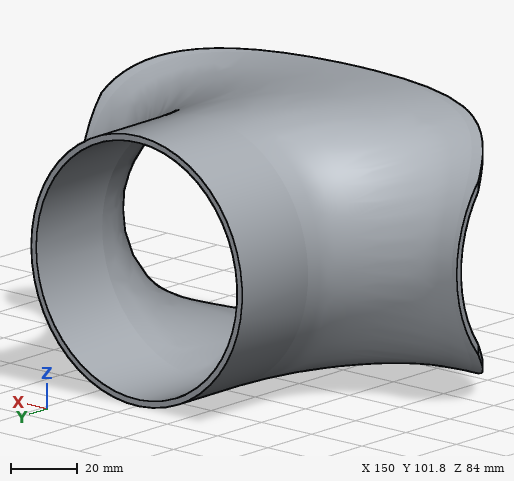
import cadquery as cq
import math


outer_diameter = 84.0
inner_diameter = 80.0
overall_length = 101.8
tube_length = 30.0
saddle_width = 150.0
rim_half_axis = 77.1
flare_half_axis = 73.0

outer_radius = outer_diameter / 2
inner_radius = inner_diameter / 2
tube_start = overall_length - tube_length

section_points = 48
flare_sections = 10
strip_sections = 2
strip_width = 9.0
sewing_tolerance = 1e-3
slope_step = 1e-4


def flare_end(angle):
    """End of the flare at a tube angle, as (x, angle around the main pipe from +Y).

    Seen along Z these points lie on an ellipse centred on the crest of the main pipe,
    with half axes flare_half_axis along X and inner_radius along Y.
    """
    c = math.cos(angle)
    s = math.sin(angle)
    x = flare_half_axis * c * math.sqrt(1 + s * s)
    around = 2 * math.asin(s * math.sqrt(inner_radius / outer_diameter))
    return x, around


def outward_direction(angle):
    """Unit direction across the flare end line, as (along X, around the pipe)."""
    x0, around0 = flare_end(angle - slope_step)
    x1, around1 = flare_end(angle + slope_step)
    run = x1 - x0
    arc = (around1 - around0) * outer_radius
    length = math.hypot(run, arc)
    return arc / length, -run / length


def strip_point(radius, angle, reach):
    """Point on the main pipe, a distance outward from the flare end line."""
    x, around = flare_end(angle)
    along_x, along_arc = outward_direction(angle)
    turn = around + along_arc * reach / outer_radius
    return cq.Vector(x + along_x * reach, radius * math.cos(turn), radius * math.sin(turn))


def flare_point(radius, angle, t):
    """Cubic Hermite blend from the tube (t = 0) to the main pipe (t = 1), tangent to both."""
    start = cq.Vector(radius * math.cos(angle), tube_start, radius * math.sin(angle))
    end = strip_point(radius, angle, 0)
    _, around = flare_end(angle)
    along_x, along_arc = outward_direction(angle)
    pull = (end - start).Length
    start_pull = cq.Vector(0, -pull, 0)
    end_pull = cq.Vector(along_x, -along_arc * math.sin(around), along_arc * math.cos(around)) * pull
    return (
        start * (2 * t**3 - 3 * t**2 + 1)
        + start_pull * (t**3 - 2 * t**2 + t)
        + end * (3 * t**2 - 2 * t**3)
        + end_pull * (t**3 - t**2)
    )


def closed_section(point_at, radius, place):
    """Closed smooth wire through the points at one place along the wall."""
    angles = [2 * math.pi * i / section_points for i in range(section_points)]
    points = [point_at(radius, angle, place) for angle in angles]
    return cq.Wire.assembleEdges([cq.Edge.makeSpline(points, periodic=True)])


def tube_circle(radius, y):
    return cq.Workplane("XZ", origin=(0, y, 0)).circle(radius).wires().val()


def skin(radius):
    """Tube, flare and strip surfaces of one side of the wall, with its two end wires."""
    tube_end = tube_circle(radius, overall_length)
    tube_mouth = tube_circle(radius, tube_start)
    flare_wires = [tube_mouth] + [
        closed_section(flare_point, radius, i / flare_sections) for i in range(1, flare_sections + 1)
    ]
    strip_wires = [flare_wires[-1]] + [
        closed_section(strip_point, radius, strip_width * i / strip_sections)
        for i in range(1, strip_sections + 1)
    ]
    parts = [
        cq.occ_impl.shapes.loft(tube_end, tube_mouth, ruled=True),
        cq.occ_impl.shapes.loft(*flare_wires),
        cq.occ_impl.shapes.loft(*strip_wires),
    ]
    faces = [face for part in parts for face in part.Faces()]
    return faces, tube_end, strip_wires[-1]


def untrimmed_branch():
    """Closed wall of the whole branch, with the strip still running past the rim."""
    outer_faces, outer_end, outer_edge = skin(outer_radius)
    inner_faces, inner_end, inner_edge = skin(inner_radius)
    tube_face = cq.Face.makeFromWires(outer_end, [inner_end])
    strip_faces = cq.occ_impl.shapes.loft(outer_edge, inner_edge, ruled=True).Faces()
    return cq.occ_impl.shapes.solid(
        *outer_faces, *inner_faces, tube_face, *strip_faces, tol=sewing_tolerance
    )


def trim_envelope():
    """Space inside the elliptical rim, open toward the tube, between the two side flats."""
    plan = cq.Workplane("XY").center(0, outer_radius)
    rim = plan.ellipse(rim_half_axis, outer_radius).extrude(outer_diameter, both=True)
    flats = plan.rect(saddle_width, 2 * overall_length).extrude(outer_diameter, both=True)
    tube_side = (
        plan.center(0, overall_length / 2)
        .rect(saddle_width, overall_length)
        .extrude(outer_diameter, both=True)
    )
    return rim.intersect(flats).union(tube_side)


result = cq.Workplane(obj=untrimmed_branch()).intersect(trim_envelope())